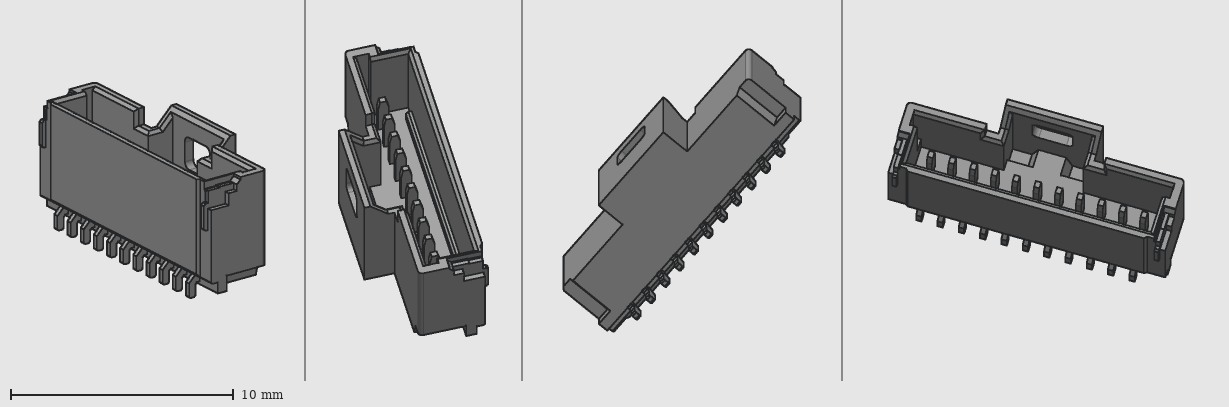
import cadquery as cq


width = 13.0
height = 5.35
back_y = 3.2
corner_radius = 0.2
wing_y = 0.12
panel_half_width = 5.54

foot_y = 0.5
foot_height = 0.54
front_bevel = 0.2
end_undercut_y = 1.0
end_undercut_height = 0.75
end_undercut_top = 0.6
end_undercut_bottom = 0.8

cavity_half_width = 5.74
cavity_front_y = 0.43
cavity_back_y = 2.74
cavity_floor = 1.2
lead_in = 0.16
corner_half_width = 6.1
corner_front_y = 2.17
corner_floor = 2.2

rib_half_width = 5.15
rib_back_y = 0.70
rib_height = 0.5
rib_bevel = 0.12

latch_half_width = 2.25
latch_back_y = 4.6
latch_inner_half_width = 1.86
latch_inner_back_y = 4.12
latch_rim_y = 4.32
latch_drop = 0.83
slope_foot_y = latch_rim_y - latch_drop
wall_low = height - latch_drop
notch_half_width = 2.8

window_half_width = 0.95
window_bottom = 2.8
window_top = 4.35
window_radius = 0.3
hollow_half_width = 0.95
hollow_front_y = 3.25
hollow_slope_width = 0.3
hollow_depth = 0.85

recess_inner_x = 5.97
plate_inner_x = 6.05
plate_outer_x = 6.25
recess_back_y = 1.76
recess_slope = 0.2
plate_back_y = 1.56
plate_step_y = 1.10
plate_crest_y = 0.78
plate_front_y = 0.15
plate_top = 5.03
plate_front_top = 4.99
groove_depth = 0.1
shelf_high = 4.72
shelf_low = 4.13
hook_front_y = -0.10
hook_top = 4.40
hook_bottom = 3.08

contact_count = 11
pitch = 1.0
contact_width = 0.25
post_front_y = 1.56
post_back_y = 2.05
post_top = 3.2
post_front_bevel = 0.12
post_back_bevel = 0.08
post_tip = 0.45
lead_front_y = -0.10
lead_thickness = 0.36
lead_bottom = -0.55
lead_top = foot_height
lead_underside = 0.15
lead_tip_bevel = 0.08
lead_bend_bevel = 0.1

overlap = 0.1


def box(x0, x1, y0, y1, z0, z1):
    size = (x1 - x0, y1 - y0, z1 - z0)
    return cq.Workplane("XY").box(*size, centered=False).translate((x0, y0, z0))


def centred_box(half_width, y0, y1, z0, z1):
    return box(-half_width, half_width, y0, y1, z0, z1)


def yz_prism(points, x0, x1):
    """Extrude a (y, z) outline from x0 to x1."""
    return cq.Workplane("YZ").polyline(points).close().extrude(x1 - x0).translate((x0, 0, 0))


def xz_prism(points, y0, y1):
    """Extrude an (x, z) outline from y0 to y1."""
    return cq.Workplane("XZ").polyline(points).close().extrude(y0 - y1).translate((0, y0, 0))


def both_ends(solid):
    return solid.union(solid.mirror("YZ"))


def make_shell():
    shell = centred_box(width / 2, wing_y, back_y, 0, height)
    shell = shell.edges("|Z and >Y").fillet(corner_radius)
    outer = panel_half_width + wing_y
    panel = (
        cq.Workplane("XY")
        .polyline([
            (-panel_half_width, 0), (panel_half_width, 0), (outer, wing_y),
            (outer, foot_y), (-outer, foot_y), (-outer, wing_y),
        ])
        .close()
        .extrude(height)
    )
    latch = centred_box(latch_half_width, back_y - corner_radius, latch_back_y, 0, height)
    return shell.union(panel).union(latch)


def make_base_cuts():
    bevel_top = foot_height + front_bevel
    front = yz_prism(
        [(-overlap, -overlap), (-overlap, bevel_top + overlap), (front_bevel, foot_height),
         (foot_y, foot_height), (foot_y, -overlap)],
        -width, width,
    )
    edge = width / 2
    end = xz_prism(
        [(edge - end_undercut_bottom, 0), (edge, 0), (edge, end_undercut_height),
         (edge - end_undercut_top, end_undercut_height)],
        end_undercut_y, back_y,
    )
    return front.union(both_ends(end))


def make_cavity():
    """Cavity with its chamfered mouth, open into the latch box."""
    main = centred_box(cavity_half_width, cavity_front_y, cavity_back_y, cavity_floor, height)
    mouth = (
        cq.Workplane("XY", origin=(0, 0, height))
        .center(0, (cavity_front_y + cavity_back_y) / 2)
        .rect(2 * (cavity_half_width + lead_in), cavity_back_y - cavity_front_y + 2 * lead_in)
        .workplane(offset=-lead_in)
        .rect(2 * cavity_half_width, cavity_back_y - cavity_front_y)
        .loft(ruled=True)
    )
    corners = centred_box(corner_half_width, corner_front_y, cavity_back_y, corner_floor, height)
    corner_mouth = yz_prism(
        [(cavity_back_y, height - lead_in), (cavity_back_y + lead_in, height), (cavity_back_y, height)],
        -corner_half_width, corner_half_width,
    )
    return main.union(mouth).union(corners).union(corner_mouth)


def make_latch_space():
    return centred_box(
        latch_inner_half_width, cavity_back_y - overlap, latch_inner_back_y, cavity_floor, height
    )


def make_latch_slope():
    """Lowers the back wall beside the latch and slopes the latch side walls."""
    slope = yz_prism(
        [(latch_rim_y, height), (slope_foot_y, wall_low), (cavity_back_y - overlap, wall_low),
         (cavity_back_y - overlap, height)],
        -notch_half_width, notch_half_width,
    )
    flare = (
        cq.Workplane("XY", origin=(0, 0, wall_low))
        .polyline([
            (0, cavity_back_y), (notch_half_width + lead_in, cavity_back_y),
            (notch_half_width, cavity_back_y + lead_in), (0, cavity_back_y + lead_in),
        ])
        .close()
        .extrude(latch_drop)
    )
    return slope.union(both_ends(flare))


def chamfer_latch_mouth(body):
    """Continue the lead-in along the sloped latch walls and the lowered back wall."""
    tol = 0.02
    for side in (-1, 1):
        x_in = side * latch_inner_half_width
        latch_wall = cq.selectors.BoxSelector(
            (x_in - tol, cavity_back_y - tol, wall_low - tol),
            (x_in + tol, latch_inner_back_y + tol, height),
        )
        x_mid = side * (latch_inner_half_width + notch_half_width + lead_in) / 2
        back_wall = cq.selectors.BoxSelector(
            (x_mid - tol, cavity_back_y - tol, wall_low - tol),
            (x_mid + tol, cavity_back_y + tol, wall_low + tol),
        )
        edges = body.edges(latch_wall + back_wall).edges("not |Z")
        body = edges.chamfer(lead_in)
    return body


def make_window():
    return (
        centred_box(window_half_width, latch_inner_back_y - overlap, latch_back_y + overlap,
                    window_bottom, window_top)
        .edges("|Y")
        .fillet(window_radius)
    )


def make_floor_hollows():
    inner = hollow_half_width - hollow_slope_width
    bottom = cavity_floor - hollow_depth
    hollow = xz_prism(
        [(inner, cavity_floor), (hollow_half_width, bottom), (latch_inner_half_width, bottom),
         (latch_inner_half_width, cavity_floor)],
        hollow_front_y, latch_inner_back_y,
    )
    return both_ends(hollow)


def make_rib():
    top = cavity_floor + rib_height
    front = cavity_front_y - overlap
    bottom = cavity_floor - overlap
    return yz_prism(
        [(front, bottom), (rib_back_y, bottom), (rib_back_y, top - rib_bevel),
         (rib_back_y - rib_bevel, top), (front, top)],
        -rib_half_width, rib_half_width,
    )


def make_end_recesses():
    front = -overlap
    slope_top = plate_top + recess_slope
    upper = yz_prism(
        [(front, plate_front_top), (plate_crest_y, plate_front_top), (plate_crest_y, plate_top),
         (plate_back_y, plate_top), (recess_back_y, slope_top), (recess_back_y, height),
         (front, height)],
        recess_inner_x, width / 2,
    )
    groove_bottom = plate_front_top - groove_depth
    groove = xz_prism(
        [(recess_inner_x, plate_top), (plate_inner_x, groove_bottom), (plate_inner_x, plate_top)],
        front, plate_back_y,
    )
    lower = yz_prism(
        [(front, shelf_low), (plate_step_y, shelf_low), (plate_step_y, shelf_high),
         (plate_back_y, shelf_high), (plate_back_y, plate_top + overlap), (front, plate_top + overlap)],
        plate_outer_x, width / 2,
    )
    plate_face = box(
        plate_inner_x, width / 2, front, plate_front_y, hook_top, plate_top + overlap
    )
    return both_ends(upper.union(lower).union(groove).union(plate_face))


def make_nail_plates():
    bevel = -hook_front_y
    plate = yz_prism(
        [(plate_back_y, plate_top), (plate_crest_y, plate_top), (plate_crest_y, plate_front_top),
         (plate_front_y, plate_front_top), (plate_front_y, hook_top), (0, hook_top),
         (hook_front_y, hook_top - bevel), (hook_front_y, hook_bottom + bevel), (0, hook_bottom),
         (plate_back_y, hook_bottom)],
        plate_inner_x, plate_outer_x,
    )
    return both_ends(plate)


def make_contact(x):
    rear = lead_front_y + lead_thickness
    x0 = x - contact_width / 2
    x1 = x + contact_width / 2
    lead = yz_prism(
        [(foot_y + overlap, lead_top), (rear, lead_top), (lead_front_y, lead_top - lead_thickness),
         (lead_front_y, lead_bottom + lead_tip_bevel), (lead_front_y + lead_tip_bevel, lead_bottom),
         (rear - lead_tip_bevel, lead_bottom), (rear, lead_bottom + lead_tip_bevel),
         (rear, lead_underside - lead_bend_bevel), (rear + lead_bend_bevel, lead_underside),
         (foot_y + overlap, lead_underside)],
        x0, x1,
    )
    post = yz_prism(
        [(post_front_y, cavity_floor - overlap), (post_front_y, post_top - post_tip),
         (post_front_y + post_front_bevel, post_top), (post_back_y - post_back_bevel, post_top),
         (post_back_y, post_top - post_tip), (post_back_y, cavity_floor - overlap)],
        x0, x1,
    )
    return lead.union(post)


body = make_shell().cut(make_base_cuts()).cut(make_cavity()).cut(make_latch_space())
body = chamfer_latch_mouth(body.cut(make_latch_slope()))
body = body.cut(make_window()).cut(make_floor_hollows()).cut(make_end_recesses())
body = body.union(make_rib()).union(make_nail_plates())
for index in range(contact_count):
    body = body.union(make_contact((index - (contact_count - 1) / 2) * pitch))

result = body